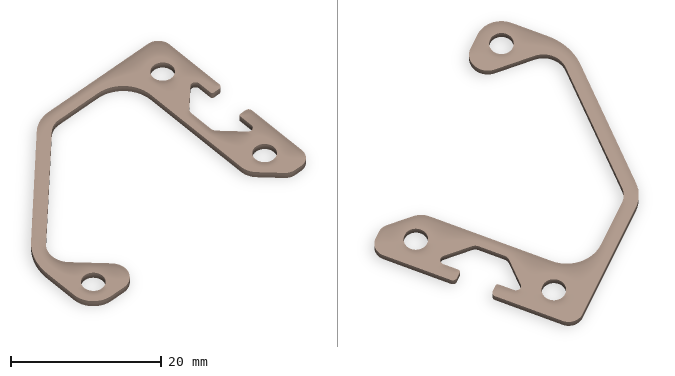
import cadquery as cq
import math

width = 30.0
height = 40.0
thickness = 1.0

wall = 2.0
top_bar_depth = 8.0
outer_diagonal_start = 17.9
inner_diagonal_start = outer_diagonal_start + wall * (math.sqrt(2) - 1)
top_corner_radius = 2.0
top_inner_radius = 5.0
bend_inner_radius = 3.0
bend_outer_radius = bend_inner_radius + wall
bottom_bend_radius = 8.0

end_cut = 4.1
end_cut_upper_radius = 2.0
end_cut_lower_radius = 3.0

lug_valley_x = 19.45
lug_valley_y = inner_diagonal_start + wall - lug_valley_x
lug_peak_y = lug_valley_y + width - lug_valley_x
lug_valley_radius = 3.2
lug_tip_diameter = 5.0
lug_corner_diameter = 7.0
lug_corner_radius = lug_corner_diameter / 2

notch_center = width / 2
notch_half_opening = 2.6
notch_depth = 6.3
notch_floor_half_width = 2.35
lip_thickness = 1.9
notch_half_width = notch_floor_half_width + notch_depth - lip_thickness
lip_outer_radius = 0.6
lip_inner_radius = 0.3
undercut_radius = 0.7
notch_floor_radius = 1.2

hole_diameter = 3.3
bar_hole_side_inset = 5.0
bar_hole_y = height - top_bar_depth / 2
hole_centers = [
    (bar_hole_side_inset, bar_hole_y),
    (width - bar_hole_side_inset, bar_hole_y),
    (width - lug_corner_radius, lug_corner_radius),
]


def notch_side(side):
    """Corners of one notch flank from lip to floor; side is -1 (left) or 1 (right)."""
    lip_x = notch_center + side * notch_half_opening
    return [
        (lip_x, height, lip_outer_radius),
        (lip_x, height - lip_thickness, lip_inner_radius),
        (notch_center + side * notch_half_width, height - lip_thickness, undercut_radius),
        (notch_center + side * notch_floor_half_width, height - notch_depth, notch_floor_radius),
    ]


def rounded_outline(corners):
    """Closed wire through (x, y, radius) corners, each replaced by a tangent arc."""
    arcs = []
    for index, (x, y, radius) in enumerate(corners):
        corner = cq.Vector(x, y)
        before = cq.Vector(*corners[index - 1][:2])
        after = cq.Vector(*corners[(index + 1) % len(corners)][:2])
        to_before = (before - corner).normalized()
        to_after = (after - corner).normalized()
        half_angle = to_before.getAngle(to_after) / 2
        tangent_length = radius / math.tan(half_angle)
        bisector = (to_before + to_after).normalized()
        arc_start = corner + to_before * tangent_length
        arc_middle = corner + bisector * (radius / math.sin(half_angle) - radius)
        arc_end = corner + to_after * tangent_length
        arcs.append((arc_start, arc_middle, arc_end))

    outline = cq.Workplane("XY").moveTo(arcs[-1][2].x, arcs[-1][2].y)
    for arc_start, arc_middle, arc_end in arcs:
        outline = outline.lineTo(arc_start.x, arc_start.y)
        outline = outline.threePointArc((arc_middle.x, arc_middle.y), (arc_end.x, arc_end.y))
    return outline.wire()


top_edge = [
    (0, height, top_corner_radius),
    *notch_side(-1),
    *reversed(notch_side(1)),
    (width, height, top_corner_radius),
]
bar_end = [
    (width, height - top_bar_depth + end_cut, end_cut_upper_radius),
    (width - end_cut, height - top_bar_depth, end_cut_lower_radius),
]
inner_side = [
    (wall, height - top_bar_depth, top_inner_radius),
    (wall, inner_diagonal_start, bend_inner_radius),
    (lug_valley_x, lug_valley_y, lug_valley_radius),
]
lug = [
    (width, lug_peak_y, lug_tip_diameter / 2),
    (width, 0, lug_corner_radius),
]
outer_side = [
    (outer_diagonal_start, 0, bottom_bend_radius),
    (0, outer_diagonal_start, bend_outer_radius),
]

plate = rounded_outline(top_edge + bar_end + inner_side + lug + outer_side).extrude(thickness)
holes = cq.Workplane("XY").pushPoints(hole_centers).circle(hole_diameter / 2).extrude(thickness)
result = plate.cut(holes)